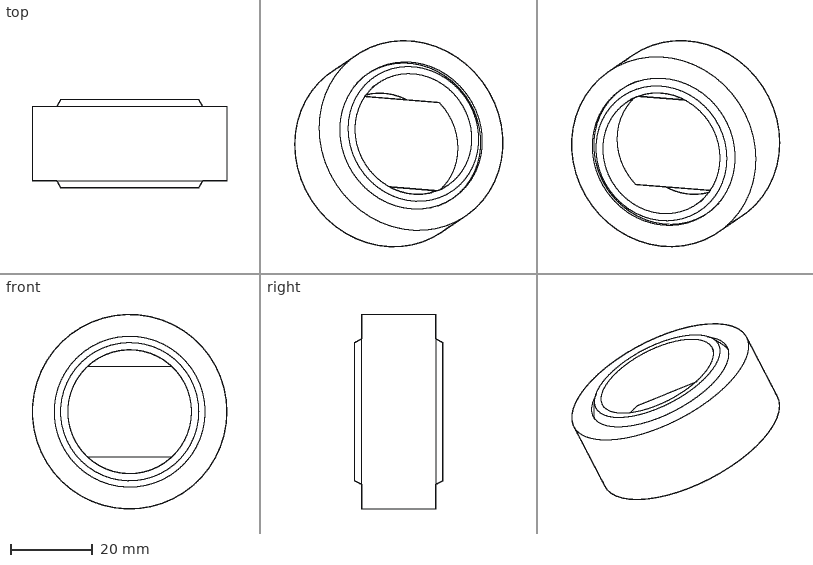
import cadquery as cq
import math

outer_diameter = 47.61
outer_width = 18.2
inner_width = 21.64

end_rim_radius = 16.9
ball_radius = math.hypot(end_rim_radius, inner_width / 2)
bore_radius = 15.12

mouth_radius = 18.45
contact_half_width = math.sqrt(ball_radius**2 - mouth_radius**2)

web_height = 22.2
web_thickness = 0.5


def revolve_about_y(profile):
    """Turn a closed profile in the XY plane all the way round the Y axis."""
    return profile.revolve(360, (0, 0, 0), (0, 1, 0))


def make_outer_ring():
    """Outer race: spherical seat between two cylindrical mouths."""
    outer_radius = outer_diameter / 2
    half_width = outer_width / 2
    profile = (
        cq.Workplane("XY")
        .moveTo(outer_radius, -half_width)
        .lineTo(outer_radius, half_width)
        .lineTo(mouth_radius, half_width)
        .lineTo(mouth_radius, contact_half_width)
        .threePointArc((ball_radius, 0), (mouth_radius, -contact_half_width))
        .lineTo(mouth_radius, -half_width)
        .close()
    )
    return revolve_about_y(profile)


def make_web():
    """Disc that fits the bore, cut off flat above and below."""
    disc = cq.Workplane("XZ").circle(bore_radius).extrude(-web_thickness)
    band = cq.Workplane("XZ").rect(2 * bore_radius, web_height).extrude(-web_thickness)
    return disc.intersect(band)


def make_inner_ring():
    """Inner race: truncated ball with a straight bore, closed in part by the web."""
    half_width = inner_width / 2
    profile = (
        cq.Workplane("XY")
        .moveTo(bore_radius, -half_width)
        .lineTo(end_rim_radius, -half_width)
        .threePointArc((ball_radius, 0), (end_rim_radius, half_width))
        .lineTo(bore_radius, half_width)
        .close()
    )
    return revolve_about_y(profile).union(make_web()).solids()


outer_ring = make_outer_ring()
inner_ring = make_inner_ring()

result = cq.Compound.makeCompound([outer_ring.val(), inner_ring.val()])